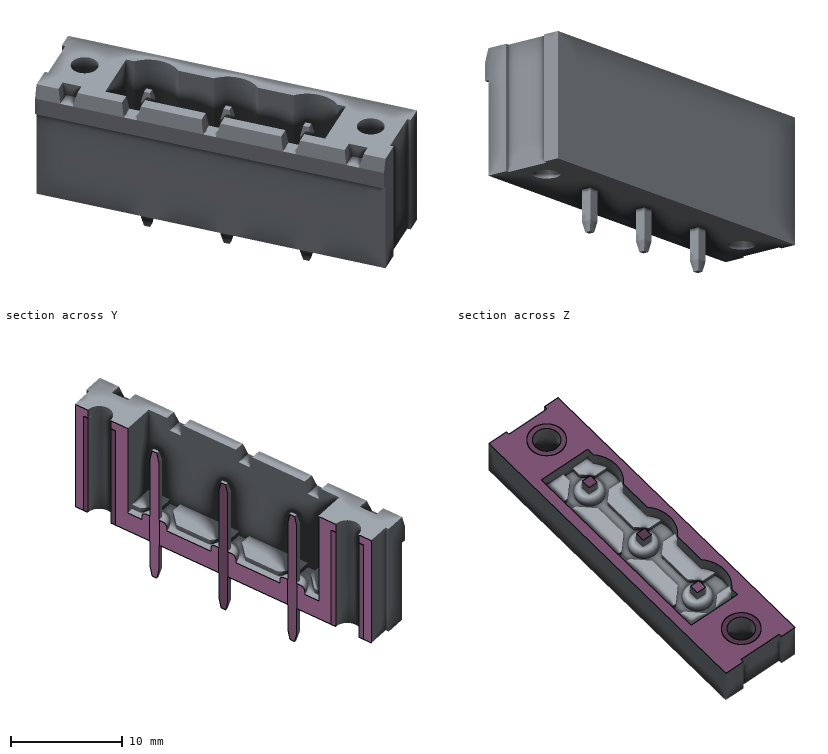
import cadquery as cq

pole_count = 3
pole_pitch = 7.62

housing_length = 33.45
housing_height = 12.0
back_y = 3.8
front_y = -4.28

lip_overhang = 0.4
lip_height = 3.0
lip_bevel_height = 1.3

end_recess_depth = 0.35
end_recess_width = 4.4

cavity_length = 21.07
cavity_back_y = 2.15
cavity_front_y = -3.2
cavity_depth = 9.35
lobe_radius = 3.0

channel_depth = 0.5
channel_back_y = 0.45
channel_front_y = -0.67
channel_node_half = 2.0
back_branch_half = 1.0
front_branch_half = 0.57

boss_diameter = 2.8
boss_height = 0.85
boss_rounding = 0.5

notch_top_width = 1.8
notch_floor_width = 1.2
notch_depth = lip_bevel_height

flange_hole_x = 13.7
flange_hole_diameter = 2.5
sleeve_diameter = 3.5
sleeve_top_depth = 1.0

pin_width = 1.0
pin_tip_width = 0.57
pin_tip_length = 1.0
pin_drop = 3.98
pin_top_depth = 1.3

pole_xs = [(i - (pole_count - 1) / 2) * pole_pitch for i in range(pole_count)]
flange_xs = [-flange_hole_x, flange_hole_x]
lip_y = front_y - lip_overhang
cavity_floor_z = housing_height - cavity_depth
channel_floor_z = cavity_floor_z - channel_depth
sleeve_height = housing_height - sleeve_top_depth


def box(x_min, x_max, y_min, y_max, z_min, z_max):
    size = (x_max - x_min, y_max - y_min, z_max - z_min)
    return cq.Workplane("XY").box(*size, centered=False).translate((x_min, y_min, z_min))


def cylinder(x, diameter, z_min, height):
    return cq.Workplane("XY", origin=(x, 0, z_min)).circle(diameter / 2).extrude(height)


def housing_block():
    """Side profile with the front lip, extruded along X, with both end faces recessed."""
    profile = [
        (back_y, 0),
        (back_y, housing_height),
        (front_y, housing_height),
        (lip_y, housing_height - lip_bevel_height),
        (lip_y, housing_height - lip_height),
        (front_y, housing_height - lip_height),
        (front_y, 0),
    ]
    block = cq.Workplane("YZ").polyline(profile).close().extrude(housing_length / 2, both=True)
    end_x = housing_length / 2
    half_recess = end_recess_width / 2
    recess = box(end_x - end_recess_depth, end_x, -half_recess, half_recess, 0, housing_height)
    return block.cut(recess).cut(recess.mirror("YZ"))


def cavity_space(floor_z):
    """Open cavity with one round lobe per pole, from floor_z up to the housing top."""
    half_length = cavity_length / 2
    space = box(-half_length, half_length, cavity_front_y, cavity_back_y, floor_z, housing_height)
    for x in pole_xs:
        space = space.union(cylinder(x, 2 * lobe_radius, floor_z, housing_height - floor_z))
    flat_end_limits = box(-half_length, half_length, cavity_front_y, back_y, floor_z, housing_height)
    return space.intersect(flat_end_limits)


def floor_channels():
    """Long channel through all poles, widened at each pole, with back and front branches."""
    back_corner_y = channel_back_y + channel_node_half - back_branch_half
    front_corner_y = channel_front_y - (channel_node_half - front_branch_half)
    right_side = [
        (back_branch_half, lobe_radius),
        (back_branch_half, back_corner_y),
        (channel_node_half, channel_back_y),
        (channel_node_half, channel_front_y),
        (front_branch_half, front_corner_y),
        (front_branch_half, cavity_front_y),
    ]
    left_side = [(-x, y) for x, y in reversed(right_side)]
    half_length = cavity_length / 2
    channels = box(
        -half_length, half_length, channel_front_y, channel_back_y, channel_floor_z, cavity_floor_z
    )
    for x in pole_xs:
        plane = cq.Workplane("XY", origin=(x, 0, channel_floor_z))
        channels = channels.union(plane.polyline(right_side + left_side).close().extrude(channel_depth))
    return channels.intersect(cavity_space(channel_floor_z))


def pin_boss(x):
    boss = cylinder(x, boss_diameter, channel_floor_z, boss_height)
    return boss.faces(">Z").edges().fillet(boss_rounding)


def wall_notch(x):
    """Tapered notch through the top of the front wall."""
    floor_z = housing_height - notch_depth
    outline = [
        (x - notch_top_width / 2, housing_height),
        (x + notch_top_width / 2, housing_height),
        (x + notch_floor_width / 2, floor_z),
        (x - notch_floor_width / 2, floor_z),
    ]
    plane = cq.Workplane("XZ", origin=(0, cavity_front_y, 0))
    return plane.polyline(outline).close().extrude(cavity_front_y - lip_y)


def make_pin(x):
    """Square pin tapered to a smaller flat square at both ends."""
    shank_bottom_z = pin_tip_length - pin_drop
    shank_top_z = housing_height - pin_top_depth - pin_tip_length
    half = pin_width / 2
    pin = box(x - half, x + half, -half, half, shank_bottom_z, shank_top_z)
    for shank_end_z, direction in [(shank_bottom_z, -1), (shank_top_z, 1)]:
        tip = (
            cq.Workplane("XY", origin=(x, 0, shank_end_z))
            .rect(pin_width, pin_width)
            .workplane(offset=direction * pin_tip_length)
            .rect(pin_tip_width, pin_tip_width)
            .loft()
        )
        pin = pin.union(tip)
    return pin


def make_sleeve(x):
    """Sleeve in the flange, its bore continuing the flange hole down to the underside."""
    return cylinder(x, sleeve_diameter, 0, sleeve_height).cut(
        cylinder(x, flange_hole_diameter, 0, sleeve_height)
    )


def make_housing():
    housing = housing_block().cut(cavity_space(cavity_floor_z)).cut(floor_channels())
    for x in pole_xs:
        housing = housing.union(pin_boss(x)).cut(make_pin(x))
    for x in pole_xs + flange_xs:
        housing = housing.cut(wall_notch(x))
    for x in flange_xs:
        housing = housing.cut(cylinder(x, flange_hole_diameter, 0, housing_height))
        housing = housing.cut(cylinder(x, sleeve_diameter, 0, sleeve_height))
    return housing


housing = make_housing()
pins = [make_pin(x) for x in pole_xs]
sleeves = [make_sleeve(x) for x in flange_xs]

result = cq.Compound.makeCompound(
    [housing.val(), *[pin.val() for pin in pins], *[sleeve.val() for sleeve in sleeves]]
)